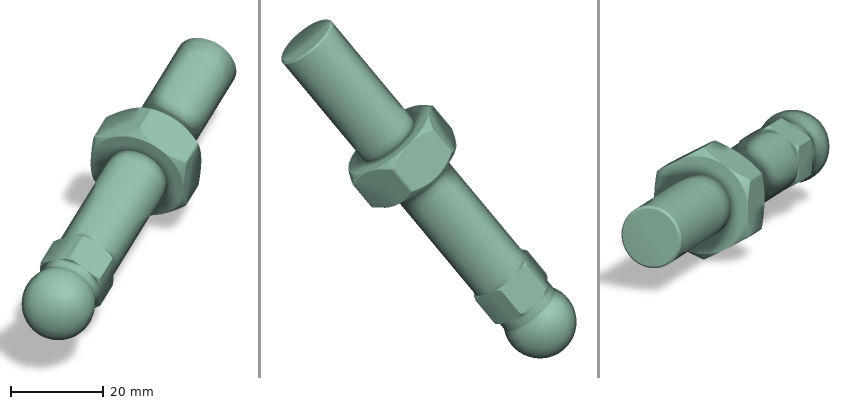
import cadquery as cq
import math

total_length = 92.4
rod_end_y = total_length / 2
ball_tip_y = -total_length / 2

rod_diameter = 13.95
rod_end_chamfer = 0.5
ball_diameter = 16.0
ball_center_y = ball_tip_y + ball_diameter / 2

nut_across_flats = 21.9
nut_corner_diameter = 25.0
nut_thickness = 10.0
nut_distance = 29.8
nut_chamfer = (nut_corner_diameter - nut_across_flats) / 2

wrench_across_flats = rod_diameter
wrench_corner_diameter = 16.2
wrench_thickness = 8.0
wrench_distance = 69.9
wrench_chamfer = 0.6


def cylinder_toward_ball(start_y, length, diameter):
    """Cylinder on the Y axis, running from start_y toward the ball."""
    plane = cq.Workplane("XZ", origin=(0, start_y, 0))
    return plane.circle(diameter / 2).extrude(length)


def chamfered_hexagon(start_y, thickness, across_flats, corner_diameter, chamfer):
    """Hexagon with corners up and down along Z and both faces turned to a chamfer."""
    sharp_corner_diameter = across_flats / math.cos(math.pi / 6)
    prism = (
        cq.Workplane("XZ", origin=(0, start_y, 0))
        .polygon(6, sharp_corner_diameter)
        .extrude(thickness)
        .rotate((0, 0, 0), (0, 1, 0), 90)
    )
    turned_blank = cylinder_toward_ball(start_y, thickness, corner_diameter)
    turned_blank = turned_blank.edges("%CIRCLE").chamfer(chamfer)
    return prism.intersect(turned_blank)


rod = cylinder_toward_ball(rod_end_y, rod_end_y - ball_center_y, rod_diameter)
rod = rod.faces(">Y").chamfer(rod_end_chamfer)

ball = cq.Workplane("XY").sphere(ball_diameter / 2).translate((0, ball_center_y, 0))

nut = chamfered_hexagon(
    rod_end_y - nut_distance,
    nut_thickness,
    nut_across_flats,
    nut_corner_diameter,
    nut_chamfer,
)

wrench_hexagon = chamfered_hexagon(
    rod_end_y - wrench_distance,
    wrench_thickness,
    wrench_across_flats,
    wrench_corner_diameter,
    wrench_chamfer,
)

result = rod.union(ball).union(nut).union(wrench_hexagon)